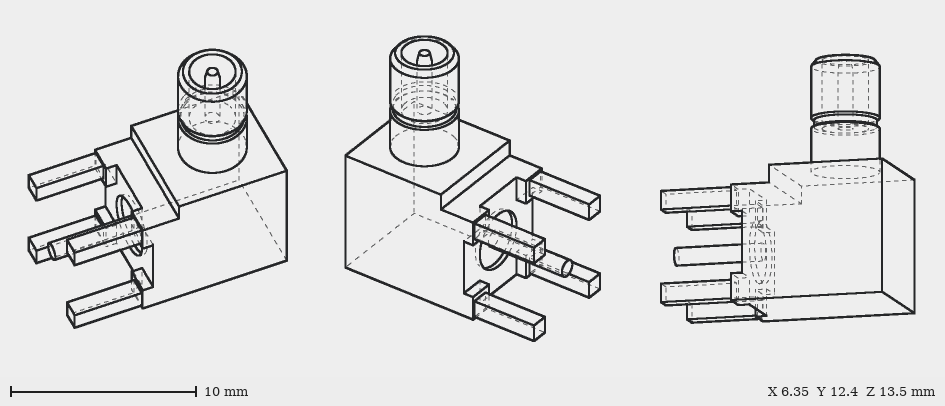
import cadquery as cq


body_width = 6.35
upper_depth = body_width
upper_top = 7.32
lower_top = body_width
recess_face = 7.87
foot_face = 8.49
leg_end = 12.45

axis_height = lower_top / 2
well_radius = 1.7
well_depth = 0.3
contact_radius = 0.48
leg_size = 1.02
leg_offset = 2.55
foot_gap = 2 * well_radius

socket_setback = 2.97
socket_top = 13.46
socket_radius = 1.86
rim_radius = 1.59
rim_chamfer_height = 0.35
groove_radius = 1.71
groove_bottom = 9.7
groove_floor_low = 9.8
groove_floor_high = 10.16
groove_top = 10.3
bore_radius = 1.25
bore_floor = groove_bottom

pin_radius = 0.4
pin_tip_radius = 0.28
pin_taper_height = 0.54


def rod(radius, start, end):
    """Cylinder on the contact axis, between two distances from the back face."""
    axis_plane = cq.Workplane("XZ", origin=(0, -start, axis_height))
    return axis_plane.circle(radius).extrude(end - start)


def revolve_about_socket(profile):
    """Solid of revolution from (radius, height) points about the socket axis."""
    section = cq.Workplane("XZ", origin=(0, -socket_setback, 0)).polyline(profile).close()
    return section.revolve(360, (0, 0, 0), (0, 1, 0))


def make_body():
    side_profile = [
        (0, 0),
        (-foot_face, 0),
        (-foot_face, lower_top),
        (-upper_depth, lower_top),
        (-upper_depth, upper_top),
        (0, upper_top),
    ]
    body = cq.Workplane("YZ").polyline(side_profile).close().extrude(body_width / 2, both=True)

    channel_plane = cq.Workplane("XZ", origin=(0, -recess_face, axis_height))
    channel_depth = foot_face - recess_face
    upright_channel = channel_plane.rect(foot_gap, lower_top).extrude(channel_depth)
    cross_channel = channel_plane.rect(body_width, foot_gap).extrude(channel_depth)
    well = rod(well_radius, recess_face - well_depth, recess_face)
    return body.cut(upright_channel).cut(cross_channel).cut(well)


def make_legs():
    leg_plane = cq.Workplane("XZ", origin=(0, -foot_face, axis_height))
    leg_centres = leg_plane.rect(2 * leg_offset, 2 * leg_offset, forConstruction=True).vertices()
    return leg_centres.rect(leg_size, leg_size).extrude(leg_end - foot_face)


def make_socket():
    return revolve_about_socket([
        (0, upper_top),
        (socket_radius, upper_top),
        (socket_radius, groove_bottom),
        (groove_radius, groove_floor_low),
        (groove_radius, groove_floor_high),
        (socket_radius, groove_top),
        (socket_radius, socket_top - rim_chamfer_height),
        (rim_radius, socket_top),
        (bore_radius, socket_top),
        (bore_radius, bore_floor),
        (pin_radius, bore_floor),
        (pin_radius, socket_top - pin_taper_height),
        (pin_tip_radius, socket_top),
        (0, socket_top),
    ])


contact = rod(contact_radius, recess_face - well_depth, leg_end)
result = make_body().union(make_socket()).union(make_legs()).union(contact)